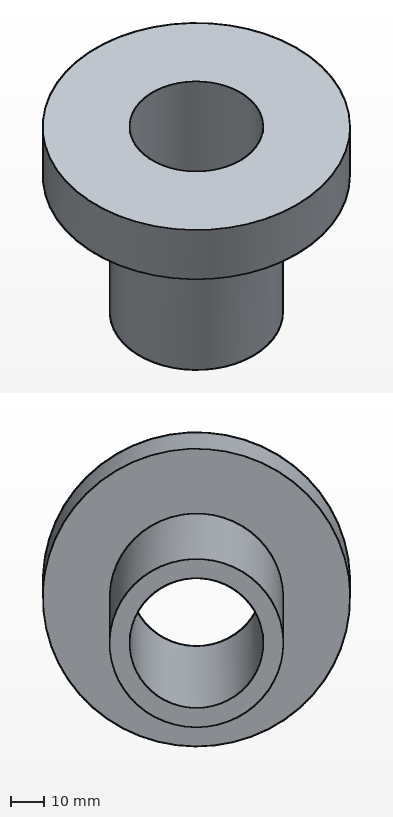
import cadquery as cq

flange_diameter = 92.0
flange_thickness = 20.0
shank_diameter = 52.0
bore_diameter = 40.0
total_height = 75.0

shank_length = total_height - flange_thickness

shank = cq.Workplane("XY").circle(shank_diameter / 2).extrude(shank_length)

flange = (
    cq.Workplane("XY")
    .workplane(offset=shank_length)
    .circle(flange_diameter / 2)
    .extrude(flange_thickness)
)

bore = cq.Workplane("XY").circle(bore_diameter / 2).extrude(total_height)

result = shank.union(flange).cut(bore)